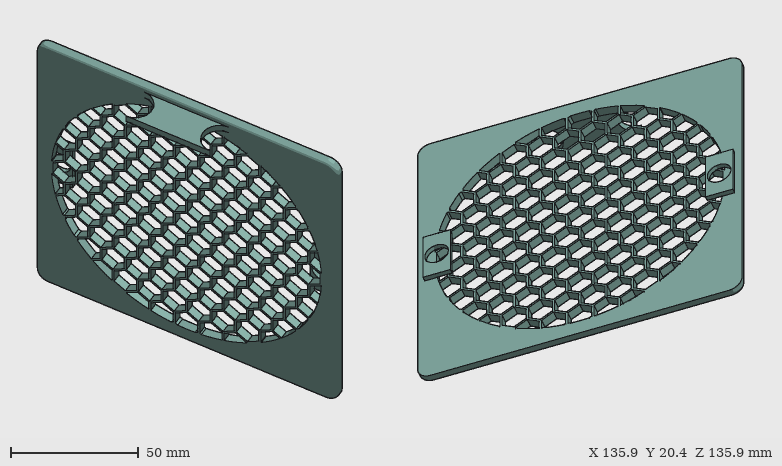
import cadquery as cq
import math

PLATE_SIDE = 135.89
PLATE_THICKNESS = 3.81
CORNER_RADIUS = 5.5
FRONT_EDGE_FILLET = PLATE_THICKNESS / 2

WINDOW_DIAMETER = 121.6
CELL_SIDES = 6
CELL_PITCH = 11.0
RIB_WIDTH = 1.0
CELL_FLATS = CELL_PITCH - RIB_WIDTH
HALF_SIDE_ANGLE = math.pi / CELL_SIDES
CELL_RADIUS = CELL_FLATS / 2 / math.cos(HALF_SIDE_ANGLE)
ROW_PITCH = CELL_PITCH * math.cos(HALF_SIDE_ANGLE)

TAB_WIDTH = 11.5
TAB_HEIGHT = 23.4
TAB_THICKNESS = 2.05
TAB_EDGE_INSET = 3.0
MAGNET_DIAMETER = 9.9

OVERALL_DEPTH = 20.39
HANDLE_PROJECTION = OVERALL_DEPTH - PLATE_THICKNESS - TAB_THICKNESS
HANDLE_WIDTH = 37.8
HANDLE_HEIGHT = 3.175
HANDLE_TOP_INSET = 2.54
GRIP_RADIUS = HANDLE_PROJECTION / 2

FRONT_Y = -PLATE_THICKNESS
HANDLE_TIP_Y = FRONT_Y - HANDLE_PROJECTION


def make_plate():
    """Rounded square plate, back face at Y = 0, with a rounded front rim."""
    plate = (
        cq.Workplane("XZ")
        .rect(PLATE_SIDE, PLATE_SIDE)
        .extrude(PLATE_THICKNESS)
        .edges("|Y")
        .fillet(CORNER_RADIUS)
    )
    return plate.faces("<Y").edges().fillet(FRONT_EDGE_FILLET)


def cell_centers():
    """Staggered centers of every cell that can reach into the window."""
    window_radius = WINDOW_DIAMETER / 2
    reach = window_radius + CELL_RADIUS
    row_limit = math.ceil(reach / ROW_PITCH)
    column_limit = math.ceil(reach / CELL_PITCH)
    centers = []
    for row in range(-row_limit, row_limit + 1):
        stagger = CELL_PITCH / 2 if row % 2 else 0
        for column in range(-column_limit, column_limit + 1):
            x = column * CELL_PITCH + stagger
            z = row * ROW_PITCH
            if math.hypot(x, z) < reach:
                centers.append((x, z))
    return centers


def make_grille_openings():
    """Hexagonal prisms, points up, trimmed to the round window."""
    corner_angles = [2 * HALF_SIDE_ANGLE * i for i in range(CELL_SIDES)]
    corners = [(CELL_RADIUS * math.sin(a), CELL_RADIUS * math.cos(a)) for a in corner_angles]
    cell = cq.Workplane("XZ").polyline(corners).close().extrude(PLATE_THICKNESS).val()
    copies = [cell.translate(cq.Vector(x, 0, z)) for x, z in cell_centers()]
    cells = cq.Workplane("XZ").newObject(copies).combine(glue=True)
    window = cq.Workplane("XZ").circle(WINDOW_DIAMETER / 2).extrude(PLATE_THICKNESS)
    return cells.intersect(window)


def make_magnet_tab(side):
    """Rectangular tab behind the plate with a round magnet hole; side is -1 or +1."""
    center_x = side * (PLATE_SIDE / 2 - TAB_EDGE_INSET - TAB_WIDTH / 2)
    return (
        cq.Workplane("XZ")
        .center(center_x, 0)
        .rect(TAB_WIDTH, TAB_HEIGHT)
        .circle(MAGNET_DIAMETER / 2)
        .extrude(-TAB_THICKNESS)
    )


def make_handle():
    """Flat handle below the top edge, hollowed on both sides by round finger grips."""
    top_z = PLATE_SIDE / 2 - HANDLE_TOP_INSET
    half_width = HANDLE_WIDTH / 2
    grip_y = HANDLE_TIP_Y + GRIP_RADIUS
    blank = (
        cq.Workplane("XY", origin=(0, 0, top_z))
        .center(0, grip_y)
        .rect(HANDLE_WIDTH, HANDLE_PROJECTION)
        .extrude(-HANDLE_HEIGHT)
    )
    grips = (
        cq.Workplane("XY", origin=(0, 0, top_z))
        .pushPoints([(-half_width, grip_y), (half_width, grip_y)])
        .circle(GRIP_RADIUS)
        .extrude(-HANDLE_HEIGHT)
    )
    return blank.cut(grips)


result = make_plate().cut(make_grille_openings())
for side in (-1, 1):
    result = result.union(make_magnet_tab(side))
result = result.union(make_handle())